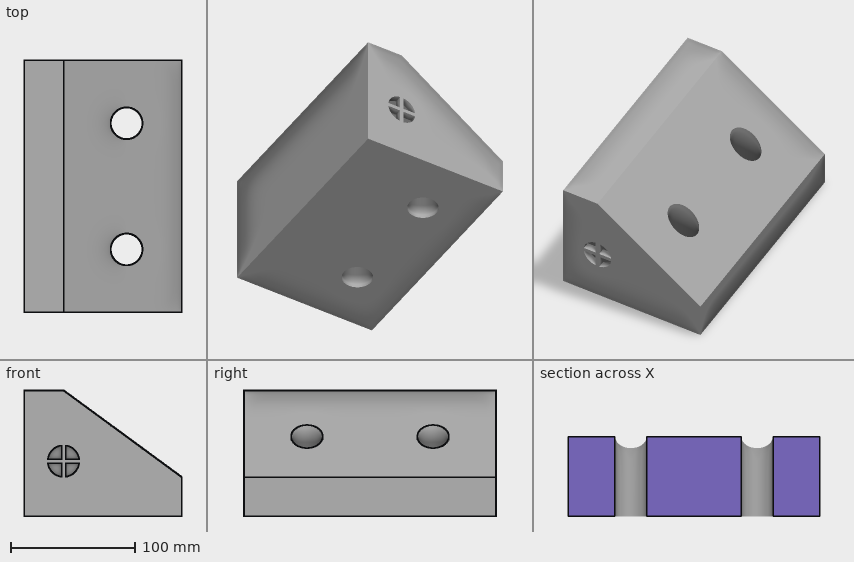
import cadquery as cq

width = 127.0
length = 203.2
height = 101.5

ledge_width = 31.7
low_side_height = 31.7

hole_diameter = 25.5
hole_x = 82.5
hole_spacing = length / 2

recess_diameter = 25.5
recess_x = ledge_width
recess_z = 44.5
recess_depth = 6.3
cross_bar_width = 3.3


def make_block():
    """Extrude the sloped profile along +Y from the end face at Y = 0."""
    profile = [
        (0, 0),
        (width, 0),
        (width, low_side_height),
        (ledge_width, height),
        (0, height),
    ]
    return cq.Workplane("XZ").polyline(profile).close().extrude(-length)


def make_holes():
    """Two vertical through holes, centred along the length."""
    return (
        cq.Workplane("XY")
        .center(hole_x, length / 2)
        .rarray(2, hole_spacing, 1, 2)
        .circle(hole_diameter / 2)
        .extrude(height)
    )


def make_quadrant_recess():
    """Four quarter-round pockets left between the arms of the cross."""
    face = cq.Workplane("XZ").center(recess_x, recess_z)
    disc = face.circle(recess_diameter / 2).extrude(-recess_depth)
    upright_bar = face.rect(cross_bar_width, recess_diameter).extrude(-recess_depth)
    level_bar = face.rect(recess_diameter, cross_bar_width).extrude(-recess_depth)
    return disc.cut(upright_bar).cut(level_bar)


result = make_block().cut(make_holes()).cut(make_quadrant_recess())